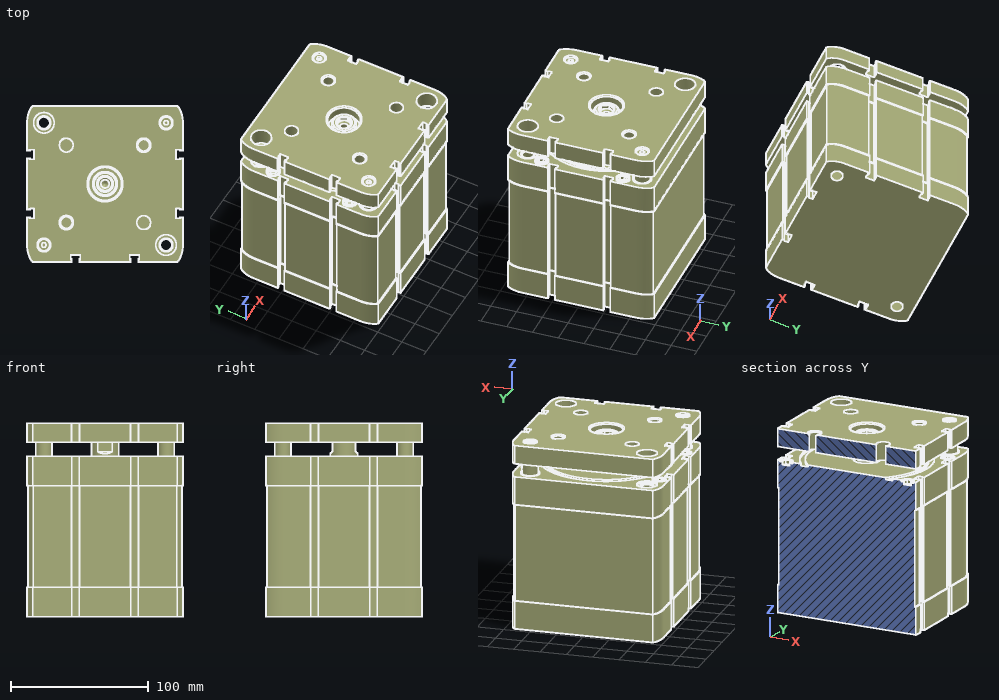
import cadquery as cq
import math

total_height = 140.8
plate_thickness = 14.0
cap_height = 21.5
plate_gap = 10.0
plate_bottom = total_height - plate_thickness
housing_height = plate_bottom - plate_gap
barrel_height = housing_height - 2 * cap_height

half_width = 56.75
barrel_inset = 0.7
corner_radius = 22.0
corner_arc_start = 44.4
corner_bevel = 1.25

slot_offset = 21.4
slot_depth = 5.0
slot_lip = 1.8
slot_width = 6.8
slot_mouth_width = 5.4
slot_mouth_chamfer = 0.35

corner_hole_offset = 44.4
guide_diameter = 12.0
guide_seat_diameter = 14.0
guide_seat_depth = 0.5
guide_end_bore = 10.0
guide_end_depth = 1.0
guide_end_tip_diameter = 8.38
guide_end_taper = 0.8
guide_socket_width = 3.0
guide_socket_depth = 2.0
mount_hole_diameter = 8.5
mount_hole_rim_diameter = 10.0
mount_counterbore_diameter = 15.0
mount_counterbore_depth = 1.0

plate_hole_offset = 28.1
dowel_hole_diameter = 10.0
thread_hole_diameter = 8.5
thread_hole_rim_diameter = 10.4

rod_diameter = 20.0
rod_flat_width = 17.0
rod_flat_length = 6.8
flat_cutter_margin = 1.0
rod_end_diameter = 18.0
rod_end_tip_diameter = 15.8
rod_end_drop = 3.5
plate_bore_diameter = 24.0
plate_bore_depth = 9.5
plate_bore_chamfer = 1.0
rod_socket_width = 10.0
rod_socket_rim_diameter = 12.0
rod_socket_rim_depth = 0.6
rod_socket_depth = 3.3
rod_socket_floor_drop = 1.2
rod_pilot_diameter = 6.0
rod_pilot_depth = 6.0
drill_tip_angle = math.radians(118)

groove_outer_diameter = 98.0
groove_inner_diameter = 90.0
groove_depth = 1.5
cap_screw_x = 49.8
cap_screw_y = 31.5
cap_screw_bore = 10.0
cap_screw_head_diameter = 8.57
cap_screw_groove_depth = 1.0
cap_screw_socket_width = 5.0
cap_screw_socket_depth = 3.0

rod_insertion = cap_height
rod_base = housing_height - rod_insertion

guide_points = [(corner_hole_offset, corner_hole_offset), (-corner_hole_offset, -corner_hole_offset)]
mount_points = [(-corner_hole_offset, corner_hole_offset), (corner_hole_offset, -corner_hole_offset)]
dowel_points = [(-plate_hole_offset, plate_hole_offset), (plate_hole_offset, -plate_hole_offset)]
thread_points = [(plate_hole_offset, plate_hole_offset), (-plate_hole_offset, -plate_hole_offset)]
cap_screw_points = [(sx * cap_screw_x, sy * cap_screw_y) for sx in (-1, 1) for sy in (-1, 1)]


def disc(diameter, bottom, height, points=((0, 0),)):
    """Upright cylinders of one size at the given points."""
    return cq.Workplane("XY").workplane(offset=bottom).pushPoints(points).circle(diameter / 2).extrude(height)


def cone(bottom_diameter, top_diameter, bottom, height, x=0, y=0):
    """Upright truncated cone; a zero bottom diameter gives a pointed one."""
    profile = [(0, 0), (bottom_diameter / 2, 0), (top_diameter / 2, height), (0, height)]
    if bottom_diameter == 0:
        profile.pop(0)
    turned = cq.Workplane("XZ").polyline(profile).close().revolve(360, (0, 0, 0), (0, 1, 0))
    return turned.translate((x, y, bottom))


def hexagon(width, bottom, height, points=((0, 0),)):
    """Hexagonal prisms given by their width across flats, corners on X."""
    corner_diameter = width / math.cos(math.pi / 6)
    base = cq.Workplane("XY").workplane(offset=bottom).pushPoints(points)
    return base.polygon(6, corner_diameter).extrude(height)


def ring(outer_diameter, inner_diameter, bottom, height, points=((0, 0),)):
    """Upright tubes at the given points."""
    outer = disc(outer_diameter, bottom, height, points)
    return outer.cut(disc(inner_diameter, bottom, height, points))


def rim_cone(hole_diameter, rim_diameter, top, x, y):
    """45 degree countersink at the mouth of a hole."""
    height = (rim_diameter - hole_diameter) / 2
    return cone(hole_diameter, rim_diameter, top - height, height, x, y)


def sensor_slots(face, mouth_chamfer, bottom, height):
    """Pairs of undercut slots in three faces that lie at the given distance from the axis."""
    floor = face - slot_depth
    lip = face - slot_lip
    half_mouth = slot_mouth_width / 2
    half_slot = slot_width / 2
    half_profile = [(half_slot, floor), (half_slot, lip),
                    (half_mouth, lip), (half_mouth, face - mouth_chamfer)]
    if mouth_chamfer > 0:
        half_profile.append((half_mouth + mouth_chamfer, face))
    profile = half_profile + [(-across, out) for across, out in reversed(half_profile)]
    slot = cq.Workplane("XY").workplane(offset=bottom).polyline(profile).close().extrude(height)
    pair = slot.translate((-slot_offset, 0, 0)).union(slot.translate((slot_offset, 0, 0)))
    slots = pair.rotate((0, 0, 0), (0, 0, 1), 90)
    for angle in (180, 270):
        slots = slots.union(pair.rotate((0, 0, 0), (0, 0, 1), angle))
    return slots


def slotted_block(inset, mouth_chamfer, bottom, height):
    """Block with the common outline, set back by an inset, with its sensor slots."""
    side = half_width - inset
    radius = corner_radius - inset
    centre_x = half_width - corner_radius
    arc_tip_y = half_width - corner_bevel
    arc_tip_x = centre_x + math.sqrt(corner_radius**2 - (arc_tip_y - corner_arc_start)**2)
    tip_angle = math.atan2(arc_tip_y - corner_arc_start, arc_tip_x - centre_x)
    tip = (centre_x + radius * math.cos(tip_angle), corner_arc_start + radius * math.sin(tip_angle))
    middle_angle = tip_angle / 2
    middle = (centre_x + radius * math.cos(middle_angle), corner_arc_start + radius * math.sin(middle_angle))
    bevel_end = tip[0] - (side - tip[1])
    outline = (
        cq.Workplane("XY").workplane(offset=bottom)
        .moveTo(side, -corner_arc_start)
        .lineTo(side, corner_arc_start)
        .threePointArc(middle, tip)
        .lineTo(bevel_end, side)
        .lineTo(-bevel_end, side)
        .lineTo(-tip[0], tip[1])
        .threePointArc((-middle[0], middle[1]), (-side, corner_arc_start))
        .lineTo(-side, -corner_arc_start)
        .threePointArc((-middle[0], -middle[1]), (-tip[0], -tip[1]))
        .lineTo(-bevel_end, -side)
        .lineTo(bevel_end, -side)
        .lineTo(tip[0], -tip[1])
        .threePointArc((middle[0], -middle[1]), (side, -corner_arc_start))
        .close()
    )
    return outline.extrude(height).cut(sensor_slots(side, mouth_chamfer, bottom, height))


def make_housing():
    """Two end caps on a slightly narrower barrel, bored for the rods and screws."""
    body = slotted_block(0, 0, 0, cap_height)
    body = body.union(slotted_block(barrel_inset, slot_mouth_chamfer, cap_height, barrel_height))
    body = body.union(slotted_block(0, 0, cap_height + barrel_height, cap_height))

    groove_floor = housing_height - groove_depth
    body = body.cut(ring(groove_outer_diameter, groove_inner_diameter, groove_floor, groove_depth))
    body = body.cut(disc(rod_diameter, rod_base, rod_insertion))

    body = body.cut(disc(guide_diameter, rod_base, rod_insertion, guide_points))
    seat_floor = housing_height - guide_seat_depth
    body = body.cut(disc(guide_seat_diameter, seat_floor, guide_seat_depth, guide_points))

    counterbore_floor = housing_height - mount_counterbore_depth
    body = body.cut(disc(mount_hole_diameter, 0, housing_height, mount_points))
    body = body.cut(disc(mount_counterbore_diameter, counterbore_floor,
                         mount_counterbore_depth, mount_points))
    for x, y in mount_points:
        body = body.cut(rim_cone(mount_hole_diameter, mount_hole_rim_diameter, counterbore_floor, x, y))

    body = body.cut(ring(cap_screw_bore, cap_screw_head_diameter, housing_height - cap_screw_groove_depth,
                         cap_screw_groove_depth, cap_screw_points))
    return body.cut(hexagon(cap_screw_socket_width, housing_height - cap_screw_socket_depth,
                            cap_screw_socket_depth, cap_screw_points))


def rod_flats():
    """Cutters for the two wrench flats below the plate, ending in 45 degree ramps."""
    flat = rod_flat_width / 2
    outside = rod_diameter / 2 + flat_cutter_margin
    ramp_start = plate_bottom - rod_flat_length
    profile = [(flat, plate_bottom), (flat, ramp_start),
               (outside, ramp_start - (outside - flat)), (outside, plate_bottom)]
    cutter = cq.Workplane("YZ").polyline(profile).close().extrude(rod_diameter / 2, both=True)
    return cutter.union(cutter.rotate((0, 0, 0), (0, 0, 1), 180))


def rod_end_socket(top):
    """Hexagon socket with a countersunk mouth, a conical floor and a drilled pilot hole."""
    socket_bottom = top - rod_socket_depth
    floor_bottom = socket_bottom - rod_socket_floor_drop
    pilot_bottom = floor_bottom - rod_pilot_depth
    tip_height = rod_pilot_diameter / 2 / math.tan(drill_tip_angle / 2)
    cutter = hexagon(rod_socket_width, socket_bottom, rod_socket_depth)
    cutter = cutter.union(cone(rod_socket_width, rod_socket_rim_diameter,
                               top - rod_socket_rim_depth, rod_socket_rim_depth))
    cutter = cutter.union(cone(rod_pilot_diameter, rod_socket_width, floor_bottom, rod_socket_floor_drop))
    cutter = cutter.union(disc(rod_pilot_diameter, pilot_bottom, rod_pilot_depth))
    return cutter.union(cone(0, rod_pilot_diameter, pilot_bottom - tip_height, tip_height))


def make_moving_unit():
    """Front plate carried by the piston rod and two guide rods."""
    body = slotted_block(0, slot_mouth_chamfer, plate_bottom, plate_thickness)

    bore_floor = total_height - plate_bore_depth
    body = body.cut(disc(plate_bore_diameter, bore_floor, plate_bore_depth))
    bore_rim_diameter = plate_bore_diameter + 2 * plate_bore_chamfer
    body = body.cut(rim_cone(plate_bore_diameter, bore_rim_diameter, total_height, 0, 0))

    body = body.cut(disc(mount_counterbore_diameter, plate_bottom, plate_thickness, mount_points))
    body = body.cut(disc(dowel_hole_diameter, plate_bottom, plate_thickness, dowel_points))
    body = body.cut(disc(thread_hole_diameter, plate_bottom, plate_thickness, thread_points))
    for x, y in thread_points:
        body = body.cut(rim_cone(thread_hole_diameter, thread_hole_rim_diameter, total_height, x, y))

    body = body.union(disc(rod_diameter, rod_base, plate_bottom - rod_base).cut(rod_flats()))
    rod_end_top = total_height - rod_end_drop
    tip_chamfer = (rod_end_diameter - rod_end_tip_diameter) / 2
    body = body.union(disc(rod_end_diameter, bore_floor, rod_end_top - tip_chamfer - bore_floor))
    body = body.union(cone(rod_end_diameter, rod_end_tip_diameter, rod_end_top - tip_chamfer, tip_chamfer))
    body = body.cut(rod_end_socket(rod_end_top))

    guide_end = total_height - guide_end_depth
    body = body.union(disc(guide_diameter, rod_base, plate_bottom - rod_base, guide_points))
    taper_bottom = guide_end - guide_end_taper
    body = body.cut(disc(guide_end_bore, taper_bottom, total_height - taper_bottom, guide_points))
    for x, y in guide_points:
        body = body.union(cone(guide_end_bore, guide_end_tip_diameter, taper_bottom, guide_end_taper, x, y))
    socket_floor = guide_end - guide_socket_depth
    return body.cut(hexagon(guide_socket_width, socket_floor, guide_socket_depth, guide_points))


housing = make_housing()
moving_unit = make_moving_unit()

result = cq.Compound.makeCompound([housing.val(), moving_unit.val()])